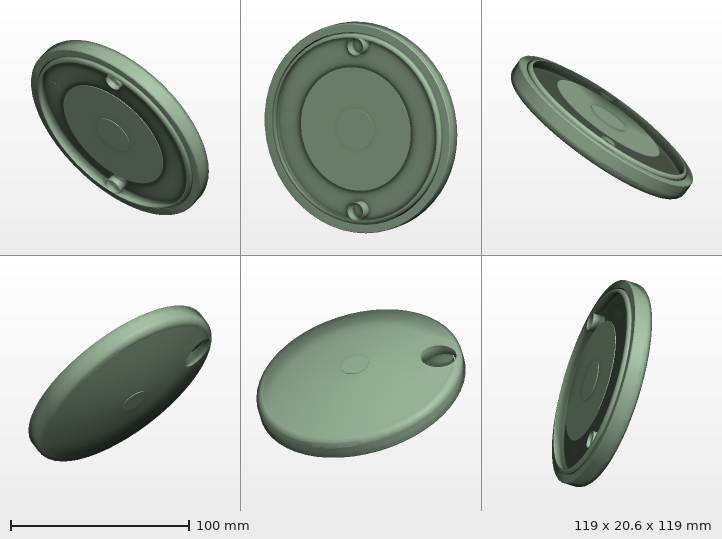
import cadquery as cq
import math


housing_radius = 59.5
rim_face_y = 2.0
rim_chamfer_width = 0.4
rim_chamfer_length = 0.6
shoulder_radius = 4.8
dome_edge_y = 13.9
top_y = 20.6
cap_radius = 7.9
cap_height = 0.2
apex_y = top_y - cap_height
sound_hole_radius = 9.9

cup_gap = 0.7
cup_radius = 54.0
lip_radius = 52.0
lip_rounding = cup_radius - lip_radius
floor_y = 6.9
floor_thickness = 2.0
cup_back_y = floor_y + floor_thickness
floor_radius = 52.5
corner_radius = 1.1

post_circle_radius = 46.9
post_radius = 5.0
pad_height = 0.1
tube_wall = 0.1

disc_radius = 35.0
disc_thickness = 0.4
disc_front_y = 0.4
hub_radius = 11.5


def cylinder(radius, front_y, back_y, x=0.0, z=0.0):
    """Cylinder along +Y between two Y positions."""
    start = cq.Vector(x, front_y, z)
    return cq.Workplane(cq.Solid.makeCylinder(radius, back_y - front_y, start, cq.Vector(0, 1, 0)))


def turned(profile):
    """Revolve a closed radius / Y outline about the Y axis."""
    return profile.close().revolve(360, (0, 0, 0), (0, 1, 0))


def make_housing():
    dome_edge_radius = housing_radius - shoulder_radius
    shoulder_y = dome_edge_y - shoulder_radius
    dome_rise = apex_y - dome_edge_y
    dome_radius = (dome_edge_radius**2 + dome_rise**2) / (2 * dome_rise)
    half_edge = dome_edge_radius / 2
    dome_mid_y = apex_y - dome_radius + math.sqrt(dome_radius**2 - half_edge**2)
    shoulder_mid = shoulder_radius * math.sqrt(0.5)
    cavity_radius = cup_radius + cup_gap

    body = turned(
        cq.Workplane("XY")
        .moveTo(0, cup_back_y)
        .lineTo(cavity_radius, cup_back_y)
        .lineTo(cavity_radius, rim_face_y)
        .lineTo(housing_radius - rim_chamfer_width, rim_face_y)
        .lineTo(housing_radius, rim_face_y + rim_chamfer_length)
        .lineTo(housing_radius, shoulder_y)
        .threePointArc(
            (dome_edge_radius + shoulder_mid, shoulder_y + shoulder_mid),
            (dome_edge_radius, dome_edge_y),
        )
        .threePointArc((half_edge, dome_mid_y), (0, apex_y))
    )
    body = body.union(cylinder(cap_radius, dome_edge_y, top_y))
    sound_hole = cylinder(sound_hole_radius, cup_back_y, apex_y, x=-post_circle_radius)
    return body.cut(sound_hole)


def make_cup():
    corner_mid = corner_radius * (1 - math.sqrt(0.5))
    lip_mid = lip_rounding * math.sqrt(0.5)
    wall_radius = floor_radius + corner_radius
    undercut_y = floor_y - corner_radius
    body = turned(
        cq.Workplane("XY")
        .moveTo(0, cup_back_y)
        .lineTo(cup_radius, cup_back_y)
        .lineTo(cup_radius, lip_rounding)
        .threePointArc((lip_radius + lip_mid, lip_rounding - lip_mid), (lip_radius, 0))
        .lineTo(wall_radius, undercut_y)
        .threePointArc((wall_radius - corner_mid, floor_y - corner_mid), (floor_radius, floor_y))
        .lineTo(0, floor_y)
    )
    for side in (-1, 1):
        offset = side * post_circle_radius
        pad = cylinder(post_radius, floor_y - pad_height, cup_back_y, x=offset)
        tube = cylinder(post_radius, 0, cup_back_y, z=offset)
        tube_bore = cylinder(post_radius - tube_wall, 0, floor_y, z=offset)
        body = body.union(pad).union(tube).cut(tube_bore)
    return body


def make_disc():
    """Thin disc with a low raised centre, held off the cup floor by a stem."""
    raised_centre_and_stem = cylinder(hub_radius, 0, floor_y)
    return cylinder(disc_radius, disc_front_y, disc_front_y + disc_thickness).union(raised_centre_and_stem)


housing = make_housing()
cup = make_cup()
disc = make_disc()
result = cq.Compound.makeCompound([housing.val(), cup.val(), disc.val()])